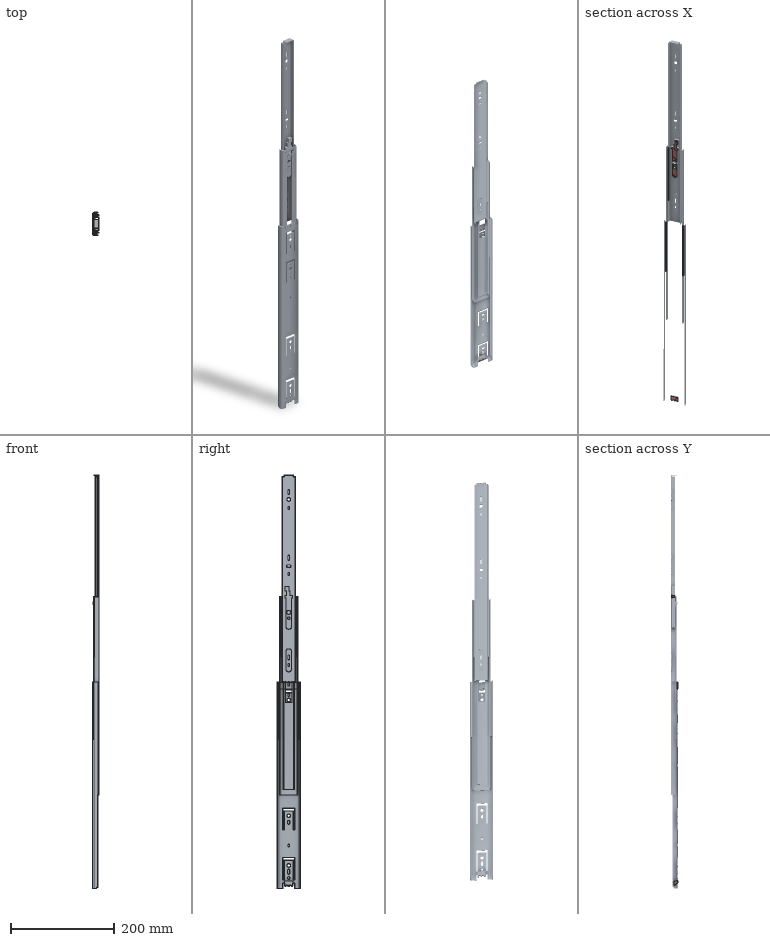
import cadquery as cq
import math


TOTAL_LENGTH = 800.0
TOTAL_DEPTH = 13.0
SHEET = 1.2

OUTER_HALF_WIDTH = 46.0 / 2
OUTER_LENGTH = TOTAL_LENGTH / 2
OUTER_DEPTH = 10.0
OUTER_BEND = 3.8
OUTER_BULGE = 0.4
WALL_EDGE_TRIM = 2.0
WALL_EDGE_X = 8.0

MIDDLE_HALF_WIDTH = 36.0 / 2
MIDDLE_BOTTOM = 181.0
MIDDLE_TOP = 565.0
MIDDLE_FRONT = 2.0
MIDDLE_BEND = 2.0
MIDDLE_BULGE = 0.6

INNER_HALF_WIDTH = 26.0 / 2
INNER_BOTTOM = TOTAL_LENGTH / 2
INNER_FRONT = 5.2
RACE_RADIUS = 2.0
RACE_X = 9.0
RACE_DEPTH = 0.6

HOLE_RADIUS = 3.0
SLOT_HALF_WIDTH = 1.1
WIDE_SLOT_HALF_WIDTH = 1.8

TABS = [
    (384.0, 48.0, 19.0, SLOT_HALF_WIDTH, [(10.0, 5.0), (34.0, 7.0)]),
    (320.0, 46.0, 18.0, SLOT_HALF_WIDTH, [(10.0, 3.0), (30.0, 3.0), (38.0, 3.0)]),
    (155.0, 42.0, 14.0, WIDE_SLOT_HALF_WIDTH, [(27.0, 7.0)]),
    (60.0, 42.0, 15.0, WIDE_SLOT_HALF_WIDTH, [(27.0, 10.0), (39.0, 5.0)]),
]
TAB_HALF_WIDTH = 9.0
TAB_LEG_WIDTH = 2.0
TAB_TOP_GAP = 5.0
OUTER_SLOTS = [238.0, 83.0]
OUTER_SLOT_LENGTH = 5.0
OUTER_NOTCH_HALF_WIDTH = 11.0
OUTER_NOTCH_HEIGHT = 10.0
TOP_NOTCH_INNER = 13.0
TOP_NOTCH_OUTER = 18.0
TOP_NOTCH_DEPTH = 8.0

GROOVE_HALF_WIDTH = 11.0
GROOVE_FLOOR_HALF_WIDTH = 9.0
GROOVE_DEPTH = 1.0
GROOVE_BOTTOM = 192.0
GROOVE_TOP = 551.0
WINDOW_HALF_WIDTH = 6.0
WINDOW_BOTTOM = 360.0
WINDOW_TOP = 557.0
MIDDLE_NOTCH_HALF_WIDTH = 10.0
MIDDLE_NOTCH_BOTTOM = 557.0

INNER_SLOTS = [(767.0, 10.0), (736.0, 5.0), (640.0, 10.0), (609.0, 5.0), (447.0, 10.0), (433.0, 5.0)]
INNER_HOLE_Z = 753.0
CROSS_SLOT_Z = 624.0
CROSS_SLOT_HALF_HEIGHT = 2.0
CROSS_SLOT_HALF_WIDTH = 3.6
BOSS_BOTTOM = 419.0
BOSS_TOP = 464.0
BOSS_HALF_WIDTH = 5.2
BOSS_HEIGHT = 1.0
LIP_HALF_WIDTH = 9.0
LIP_REACH = 2.8
SIDE_WALL_TOP = 797.0

OUTER_CAGE_Y = (18.0, 20.0)
OUTER_CAGE_X = (1.9, 9.0)
OUTER_CAGE_Z = (288.0, 399.0)
OUTER_CAGE_BAR_THICKNESS = 0.5
OUTER_CAGE_BAR_HEIGHT = 13.0
INNER_CAGE_Y = (14.0, 15.0)
INNER_CAGE_X = (4.0, 10.0)
INNER_CAGE_Z = (448.0, 564.0)
INNER_CAGE_BAR_THICKNESS = 1.0
INNER_CAGE_BAR_HEIGHT = 6.0

LEVER_FRONT = 5.0
LEVER_HALF_WIDTH = 6.0
LEVER_BOTTOM = 502.0
LEVER_TOP = 567.0
SHOULDER_HALF_WIDTH = 7.0
SHOULDER_HEIGHT = 5.0
LEVER_NECK_Y = (-5.0, 2.0)
LEVER_NECK_TOP = 576.0
LEVER_HOOK_Y = (-7.0, 0.0)
LEVER_HOOK_TOP = 585.0
PIVOT_Z = 534.0
PIVOT_RADIUS = 4.0
PEEP_HOLE_Z = 523.0
PEEP_HOLE_RADIUS = 2.0
PLINTH_FRONT = 4.0
PLINTH_HALF_WIDTH = 5.0
PLINTH_Z = (544.0, 556.0)
BUTTON_REACH = 1.0
BUTTON_HALF_WIDTH = 2.0
BUTTON_Z = (550.0, 554.0)

BUMPER_HALF_WIDTH = 8.0
BUMPER_TOP = 15.0
BUMPER_SHOULDER = 10.0
BUMPER_BOTTOM = 6.0
BUMPER_SLOPE_X = 6.0
BUMPER_FRONT = 9.0
TOOTH_BOTTOM = 4.0
TOOTH_WIDTH = 2.0
TOOTH_PITCH = 6.0


def block(x_range, y_range, z_range):
    """A box between the given limits."""
    size = [high - low for low, high in (x_range, y_range, z_range)]
    box = cq.Workplane("XY").box(*size, centered=False)
    return box.translate((x_range[0], y_range[0], z_range[0]))


def centred_block(x_range, half_width, z_range):
    """A box that is symmetric about Y = 0."""
    return block(x_range, (-half_width, half_width), z_range)


def web_slot(x_range, half_width, z_range):
    """A bar with round ends in Z, passing through the given X range."""
    length = z_range[1] - z_range[0]
    bar = cq.Workplane("YZ").slot2D(length, 2 * half_width, 90).extrude(x_range[1] - x_range[0])
    return bar.translate((x_range[0], 0, sum(z_range) / 2))


def web_hole(x_range, radius, z):
    """A round pin along X, centred at height z."""
    pin = cq.Workplane("YZ").circle(radius).extrude(x_range[1] - x_range[0])
    return pin.translate((x_range[0], 0, z))


def mirrored_pair(body):
    """A body together with its mirror image across Y = 0."""
    return body.union(body.mirror("XZ"))


def channel_outline(half_width, depth, bend, bulge):
    """Closed outline of a channel's outer skin: web on X = 0, rounded bends, bowed side walls."""
    wall = half_width - bulge
    web = wall - bend
    diagonal = bend * (1 - math.sqrt(0.5))
    middle = (bend + depth) / 2
    return (
        cq.Workplane("XY")
        .moveTo(0, -web)
        .lineTo(0, web)
        .threePointArc((diagonal, wall - diagonal), (bend, wall))
        .threePointArc((middle, half_width), (depth, wall))
        .lineTo(depth, -wall)
        .threePointArc((middle, -half_width), (bend, -wall))
        .threePointArc((diagonal, diagonal - wall), (0, -web))
        .close()
    )


def channel(half_width, depth, bend, bulge, length):
    """A channel rail of sheet thickness, standing on Z = 0, with its web on X = 0 and open to +X."""
    skin = channel_outline(half_width, depth, bend, bulge).extrude(length)
    hollow = channel_outline(half_width - SHEET, depth, bend - SHEET, bulge).extrude(length)
    return skin.cut(hollow.translate((SHEET, 0, 0)))


OUTER_WEB = (0, SHEET)


def spring_tab_cuts(top, leg_length, hole_drop, slot_half_width, slots):
    """The U-shaped cut around a tab, with the tab's hole and slots."""
    outside = TAB_HALF_WIDTH + TAB_LEG_WIDTH
    surround = centred_block(OUTER_WEB, outside, (top - leg_length, top))
    tongue = centred_block(OUTER_WEB, TAB_HALF_WIDTH, (top - leg_length, top - TAB_TOP_GAP))
    cuts = surround.cut(tongue).union(web_hole(OUTER_WEB, HOLE_RADIUS, top - hole_drop))
    for drop, length in slots:
        middle = top - drop
        cuts = cuts.union(web_slot(OUTER_WEB, slot_half_width, (middle - length / 2, middle + length / 2)))
    return cuts


def make_outer_rail():
    rail = channel(OUTER_HALF_WIDTH, OUTER_DEPTH, OUTER_BEND, OUTER_BULGE, OUTER_LENGTH)
    edge_x = (WALL_EDGE_X, OUTER_DEPTH)
    rail = rail.cut(centred_block(edge_x, OUTER_HALF_WIDTH, (0, WALL_EDGE_TRIM)))
    for tab in TABS:
        rail = rail.cut(spring_tab_cuts(*tab))
    for z in OUTER_SLOTS:
        half_length = OUTER_SLOT_LENGTH / 2
        rail = rail.cut(web_slot(OUTER_WEB, SLOT_HALF_WIDTH, (z - half_length, z + half_length)))
    rail = rail.cut(centred_block(OUTER_WEB, OUTER_NOTCH_HALF_WIDTH, (0, OUTER_NOTCH_HEIGHT)))
    top_notch_z = (OUTER_LENGTH - TOP_NOTCH_DEPTH, OUTER_LENGTH)
    rail = rail.cut(mirrored_pair(block(OUTER_WEB, (TOP_NOTCH_INNER, TOP_NOTCH_OUTER), top_notch_z)))
    return rail.cut(centred_block(OUTER_WEB, SLOT_HALF_WIDTH, top_notch_z))


def groove_bar(offset):
    """Tapered bar of the pressed groove; the offset moves it into the rail by that distance."""
    bar = (
        cq.Workplane("XY")
        .moveTo(0, -GROOVE_HALF_WIDTH)
        .lineTo(GROOVE_DEPTH, -GROOVE_FLOOR_HALF_WIDTH)
        .lineTo(GROOVE_DEPTH, GROOVE_FLOOR_HALF_WIDTH)
        .lineTo(0, GROOVE_HALF_WIDTH)
        .close()
        .extrude(GROOVE_TOP - GROOVE_BOTTOM)
    )
    return bar.translate((MIDDLE_FRONT + offset, 0, GROOVE_BOTTOM))


def make_middle_rail():
    depth = TOTAL_DEPTH - MIDDLE_FRONT
    rail = channel(MIDDLE_HALF_WIDTH, depth, MIDDLE_BEND, MIDDLE_BULGE, MIDDLE_TOP - MIDDLE_BOTTOM)
    rail = rail.translate((MIDDLE_FRONT, 0, MIDDLE_BOTTOM))
    rail = rail.union(groove_bar(SHEET)).cut(groove_bar(0))
    web_and_groove = (MIDDLE_FRONT, MIDDLE_FRONT + SHEET + GROOVE_DEPTH)
    rail = rail.cut(centred_block(web_and_groove, WINDOW_HALF_WIDTH, (WINDOW_BOTTOM, WINDOW_TOP)))
    notch_z = (MIDDLE_NOTCH_BOTTOM, MIDDLE_TOP)
    return rail.cut(centred_block(web_and_groove, MIDDLE_NOTCH_HALF_WIDTH, notch_z))


INNER_WEB = (TOTAL_DEPTH - SHEET, TOTAL_DEPTH)


def make_inner_rail():
    rail_z = (INNER_BOTTOM, TOTAL_LENGTH)
    rail = centred_block((INNER_FRONT, TOTAL_DEPTH), INNER_HALF_WIDTH, rail_z)
    rail = rail.cut(centred_block((INNER_FRONT, INNER_WEB[0]), INNER_HALF_WIDTH - SHEET, rail_z))

    race = cq.Workplane("XY").circle(RACE_RADIUS).extrude(TOTAL_LENGTH - INNER_BOTTOM)
    race_y = INNER_HALF_WIDTH + RACE_RADIUS - RACE_DEPTH
    rail = rail.cut(mirrored_pair(race.translate((RACE_X, race_y, INNER_BOTTOM))))

    end_z = (SIDE_WALL_TOP, TOTAL_LENGTH)
    side = block((INNER_FRONT, TOTAL_DEPTH), (LIP_HALF_WIDTH, INNER_HALF_WIDTH), end_z)
    rail = rail.cut(mirrored_pair(side))
    lip_z = (TOTAL_LENGTH - SHEET, TOTAL_LENGTH)
    rail = rail.union(centred_block((LIP_REACH, TOTAL_DEPTH), LIP_HALF_WIDTH, lip_z))

    boss = web_slot(INNER_WEB, BOSS_HALF_WIDTH, (BOSS_BOTTOM, BOSS_TOP))
    pressing = boss.translate((SHEET - BOSS_HEIGHT, 0, 0))
    rail = rail.union(boss.translate((-BOSS_HEIGHT, 0, 0))).cut(pressing)

    web_and_boss = (INNER_WEB[0] - BOSS_HEIGHT, TOTAL_DEPTH)
    for z, length in INNER_SLOTS:
        rail = rail.cut(web_slot(web_and_boss, SLOT_HALF_WIDTH, (z - length / 2, z + length / 2)))
    cross_slot_z = (CROSS_SLOT_Z - CROSS_SLOT_HALF_HEIGHT, CROSS_SLOT_Z + CROSS_SLOT_HALF_HEIGHT)
    rail = rail.cut(centred_block(INNER_WEB, CROSS_SLOT_HALF_WIDTH, cross_slot_z))
    return rail.cut(web_hole(INNER_WEB, HOLE_RADIUS, INNER_HOLE_Z))


def make_ball_cage(x_range, y_range, z_range, bar_thickness, bar_height):
    sides = mirrored_pair(block(x_range, y_range, z_range))
    bar_x = (x_range[0], x_range[0] + bar_thickness)
    bar_z = (z_range[1] - bar_height, z_range[1])
    return sides.union(centred_block(bar_x, y_range[1], bar_z))


def make_lever():
    thickness = (LEVER_FRONT, INNER_WEB[0])
    foot = web_slot(thickness, LEVER_HALF_WIDTH, (LEVER_BOTTOM, LEVER_TOP))
    neck = block(thickness, LEVER_NECK_Y, (BUTTON_Z[0], LEVER_NECK_TOP))
    hook = block(thickness, LEVER_HOOK_Y, (LEVER_NECK_TOP, LEVER_HOOK_TOP))
    button = centred_block((BUTTON_REACH, LEVER_FRONT), BUTTON_HALF_WIDTH, BUTTON_Z)
    shoulder = centred_block(thickness, SHOULDER_HALF_WIDTH, (LEVER_TOP - SHOULDER_HEIGHT, LEVER_TOP))
    plinth = centred_block((PLINTH_FRONT, LEVER_FRONT), PLINTH_HALF_WIDTH, PLINTH_Z)
    lever = foot.union(neck).union(hook).union(shoulder).union(plinth).union(button)
    lever = lever.cut(web_hole(thickness, PIVOT_RADIUS, PIVOT_Z))
    return lever.cut(web_hole(thickness, PEEP_HOLE_RADIUS, PEEP_HOLE_Z))


def make_bumper():
    bumper = (
        cq.Workplane("XZ")
        .moveTo(SHEET, BUMPER_TOP)
        .lineTo(SHEET, BUMPER_SHOULDER)
        .lineTo(BUMPER_SLOPE_X, BUMPER_BOTTOM)
        .lineTo(BUMPER_FRONT, BUMPER_BOTTOM)
        .lineTo(BUMPER_FRONT, BUMPER_TOP)
        .close()
        .extrude(BUMPER_HALF_WIDTH, both=True)
    )
    tooth = centred_block((BUMPER_SLOPE_X, BUMPER_FRONT), TOOTH_WIDTH / 2, (TOOTH_BOTTOM, BUMPER_BOTTOM))
    for y in (-TOOTH_PITCH, 0, TOOTH_PITCH):
        bumper = bumper.union(tooth.translate((0, y, 0)))
    return bumper


outer_rail = make_outer_rail()
middle_rail = make_middle_rail()
inner_rail = make_inner_rail()
outer_cage = make_ball_cage(
    OUTER_CAGE_X, OUTER_CAGE_Y, OUTER_CAGE_Z, OUTER_CAGE_BAR_THICKNESS, OUTER_CAGE_BAR_HEIGHT
)
inner_cage = make_ball_cage(
    INNER_CAGE_X, INNER_CAGE_Y, INNER_CAGE_Z, INNER_CAGE_BAR_THICKNESS, INNER_CAGE_BAR_HEIGHT
)
lever = make_lever()
bumper = make_bumper()

bodies = [outer_rail, middle_rail, inner_rail, outer_cage, inner_cage, lever, bumper]
result = cq.Compound.makeCompound([body.val() for body in bodies])